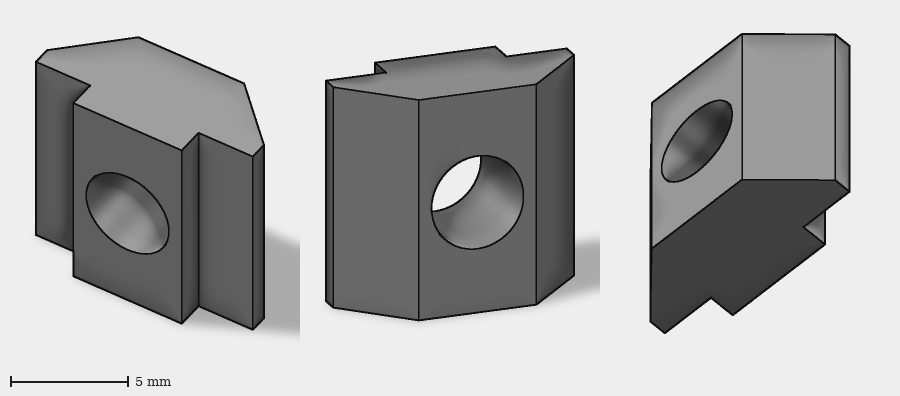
import cadquery as cq

width = 11.0
depth = 4.99
height = 10.0

neck_width = 5.5
neck_depth = 1.32
flange_edge = 0.88
back_width = 5.37

hole_diameter = 4.2

front_y = -depth / 2
flange_front_y = front_y + neck_depth
taper_start_y = flange_front_y + flange_edge
back_y = depth / 2

right_side = [
    (neck_width / 2, front_y),
    (neck_width / 2, flange_front_y),
    (width / 2, flange_front_y),
    (width / 2, taper_start_y),
    (back_width / 2, back_y),
]
left_side = [(-x, y) for x, y in reversed(right_side)]
body = (
    cq.Workplane("XY", origin=(0, 0, -height / 2))
    .polyline(right_side + left_side)
    .close()
    .extrude(height)
)

hole = cq.Workplane("XZ", origin=(0, back_y, 0)).circle(hole_diameter / 2).extrude(depth)

result = body.cut(hole)